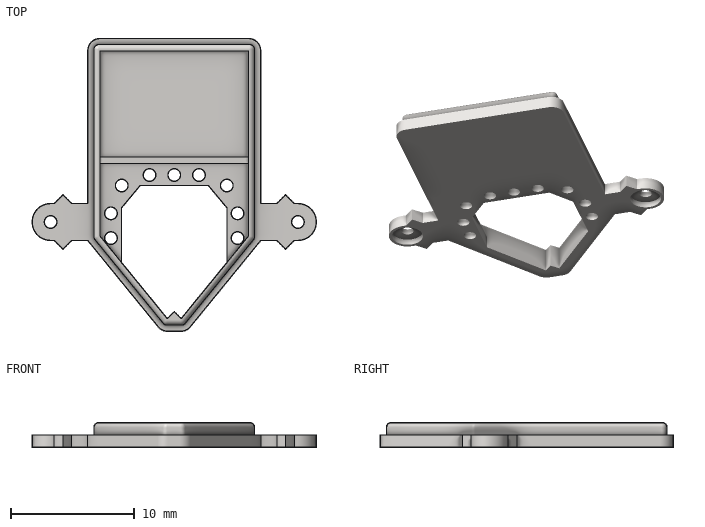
import cadquery as cq

plate_thickness = 1.0
half_width = 7.0
top_y = 14.85
tip_y = -8.85
tip_half_width = 1.0
plate_corner_radius = 1.0

ear_hole_x = 10.0
ear_radius = 1.5
ear_recess_diameter = 2.5
ear_recess_depth = 0.5
barb_x = 9.0
barb_side = 1.0

total_height = 2.0
rim_inset = 0.5
rim_thickness = 0.5
rim_rounding = 0.4

rib_width = 0.5
rib_height = 0.4
rib_center_y = 5.0

window_half_width = 4.25
window_top_y = 2.95
window_chamfer_x = 1.5
window_chamfer_y = 1.8

hole_diameter = 1.0
top_row_y = 3.8
side_column_x = 5.12
side_column_top_y = 0.7
hole_pitch = 2.0

inner_inset = rim_inset + rim_thickness
shoulder_y = -ear_radius


def plate_outline(inset):
    """Closed wire of the plate outline with sharp corners, moved inward by inset."""
    outline = (
        cq.Workplane("XY")
        .moveTo(-half_width, top_y)
        .lineTo(half_width, top_y)
        .lineTo(half_width, shoulder_y)
        .lineTo(tip_half_width, tip_y)
        .lineTo(-tip_half_width, tip_y)
        .lineTo(-half_width, shoulder_y)
        .close()
    )
    if inset > 0:
        outline = outline.offset2D(-inset, "intersection")
    return outline


def barb(x, y, height):
    """Square post turned by 45 degrees, so that half of it shows as a pointed barb."""
    post = cq.Workplane("XY").rect(barb_side, barb_side).extrude(height)
    return post.rotate((0, 0, 0), (0, 0, 1), 45).translate((x, y, 0))


def make_plate():
    """Flat plate with rounded corners at both ends."""
    plate = plate_outline(0).extrude(plate_thickness)
    end_corners = plate.edges("|Z and (>Y or <Y)")
    return end_corners.fillet(plate_corner_radius)


def make_ears():
    """Bar across the plate with round ends and two barbs on each ear."""
    ears = cq.Workplane("XY").slot2D(2 * (ear_hole_x + ear_radius), 2 * ear_radius).extrude(plate_thickness)
    for x in (-barb_x, barb_x):
        for y in (-ear_radius, ear_radius):
            ears = ears.union(barb(x, y, plate_thickness))
    return ears


def make_rim():
    """Rim wall with rounded outer corners and a rounded outer top edge."""
    rim = plate_outline(rim_inset).extrude(total_height)
    rim = rim.edges("|Z").fillet(rim_rounding)
    rim = rim.faces(">Z").edges().fillet(rim_rounding)
    return rim.cut(plate_outline(inner_inset).extrude(total_height))


def make_rib():
    """Low rib across the floor; each end reaches halfway into the rim wall."""
    rib_length = 2 * (half_width - inner_inset) + rim_thickness
    rib = cq.Workplane("XY").workplane(offset=plate_thickness).center(0, rib_center_y)
    return rib.rect(rib_length, rib_width).extrude(rib_height)


def make_window():
    """Window with chamfered top corners, bounded below by the inner face of the rim."""
    chamfer_start_x = window_half_width - window_chamfer_x
    chamfer_end_y = window_top_y - window_chamfer_y
    window = (
        cq.Workplane("XY")
        .moveTo(-chamfer_start_x, window_top_y)
        .lineTo(chamfer_start_x, window_top_y)
        .lineTo(window_half_width, chamfer_end_y)
        .lineTo(window_half_width, tip_y)
        .lineTo(-window_half_width, tip_y)
        .lineTo(-window_half_width, chamfer_end_y)
        .close()
        .extrude(plate_thickness)
    )
    return window.intersect(plate_outline(inner_inset).extrude(plate_thickness))


def make_holes():
    """Through holes: one per ear, a row above the window and a column beside it on each side.

    One more hole on each side lies where the window's side and top edges would meet.
    """
    centers = [(0, top_row_y)]
    for side in (-1, 1):
        centers += [
            (side * ear_hole_x, 0),
            (side * hole_pitch, top_row_y),
            (side * window_half_width, window_top_y),
            (side * side_column_x, side_column_top_y),
            (side * side_column_x, side_column_top_y - hole_pitch),
        ]
    return cq.Workplane("XY").pushPoints(centers).circle(hole_diameter / 2).extrude(plate_thickness)


def make_ear_recesses():
    """Round recesses under the ears, concentric with the ear holes."""
    centers = [(-ear_hole_x, 0), (ear_hole_x, 0)]
    return cq.Workplane("XY").pushPoints(centers).circle(ear_recess_diameter / 2).extrude(ear_recess_depth)


def make_tip_barb():
    """Barb as tall as the rim, centered where the rounding of the tip wall ends.

    Only the part inside the rim is kept, so the rounded edge stays clear.
    """
    tip_barb = barb(0, tip_y + rim_inset + rim_rounding, total_height)
    return tip_barb.intersect(plate_outline(inner_inset).extrude(total_height))


body = make_plate().union(make_ears())
body = body.cut(make_window()).cut(make_holes()).cut(make_ear_recesses())
result = body.union(make_rim()).union(make_rib()).union(make_tip_barb())